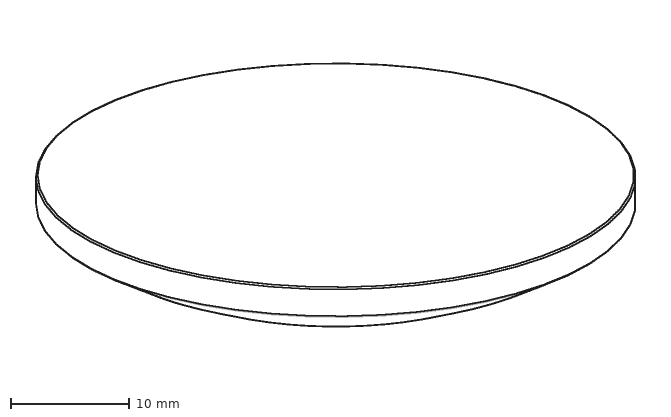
import cadquery as cq

diameter = 50.8
total_height = 10.15
rim_height = 2.75
edge_chamfer = 0.15
dish_depth = 2.55

radius = diameter / 2
face_radius = radius - edge_chamfer
top_z = total_height
rim_bottom_z = top_z - rim_height


def arc_height(sagitta, half_chord, distance):
    """Height above the vertex of a circular arc at a distance from the axis."""
    arc_radius = (half_chord**2 + sagitta**2) / (2 * sagitta)
    return arc_radius - (arc_radius**2 - distance**2) ** 0.5


half_face = face_radius / 2
dish_z = top_z - dish_depth
bottom_mid_z = arc_height(rim_bottom_z, face_radius, half_face)
dish_mid_z = dish_z + arc_height(dish_depth, face_radius, half_face)

half_section = (
    cq.Workplane("YZ")
    .moveTo(0, 0)
    .threePointArc((-half_face, bottom_mid_z), (-face_radius, rim_bottom_z))
    .lineTo(-radius, rim_bottom_z + edge_chamfer)
    .lineTo(-radius, top_z - edge_chamfer)
    .lineTo(-face_radius, top_z)
    .threePointArc((-half_face, dish_mid_z), (0, dish_z))
    .close()
)

result = half_section.revolve(360, (0, 0), (0, 1))